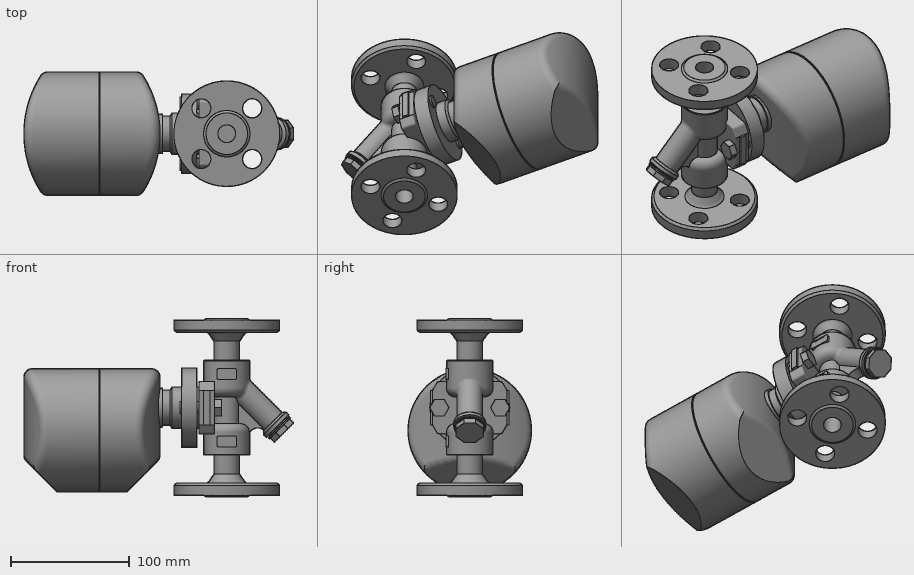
import cadquery as cq
import math


overall_length = 227.0
overall_height = 150.0
housing_start_x = -170.7
tip_x = housing_start_x + overall_length

half_height = overall_height / 2
raised_face_height = 1.4
raised_face_dia = 35.0
raised_face_base_dia = 39.0
flange_dia = 89.0
flange_thickness = 10.5
flange_chamfer = 2.0
bolt_hole_dia = 16.0
bolt_hole_offset = 21.3
bore_dia = 15.0
bore_depth = 35.2

pipe_dia = 21.8
hub_dia = 33.0
hub_height = 7.3
hub_cone_dia = 30.0
hub_step = 1.4

body_dia = 39.0
body_half_height = 40.0
body_edge_chamfer = 0.7
waist_center_z = -2.15
waist_height = 13.0
shoulder_radius = 7.3
waist_radius = 7.5

pad_width = 16.3
pad_height = 9.5
pad_corner = 1.5
pad_face_y = -20.0
pad_center_z = 28.4

branch_start_z = 27.2
branch_angle = 45
branch_dia = 21.8
branch_end = 55.0
collar_dia = 27.0
collar_start = 57.0
collar_end = 60.5
washer_dia = 25.0
washer_start = 61.8
washer_end = 63.1
plug_across_flats = 23.0
plug_sides = 8
plug_end = tip_x / math.sin(math.radians(branch_angle)) - plug_across_flats / 2
junction_fillet = 3.6

crotch_width = 9.0
crotch_arc_half_width = 5.5
crotch_arc_radius = 7.5

plate_back_x = -23.5
plate_front_x = -10.2
plate_half_width = 31.3
plate_height = 44.3
plate_side_half_height = 14.5
plate_slope_angle = 30
plate_corner_radius = 2.5
panel_start_x = -19.5
panel_end_x = -14.0
panel_half_width = 33.2
plate_edge_fillet = 1.0
stud_dia = 10.5
stud_offset = 25.7
stud_end_x = -39.5
nut_across_flats = 14.0
nut_sides = 6
nut_end_x = -4.3

neck_flange_dia = 67.0
neck_flange_start_x = -38.0
neck_flange_end_x = -25.2
collet_dia = 35.0
collet_start_x = -46.0
neck_dia = 30.0
neck_end_x = -47.7
neck_foot_dia = 33.0
neck_foot_x = -54.0

housing_dia = 104.0
housing_end_x = -56.0
housing_center_z = -19.0
housing_end_radius = 90.8
housing_edge_fillet = 7.3
housing_bevel = 28.2
groove_x = -107.2
groove_width = 1.0
groove_depth = 0.7


def rod_x(diameter, start_x, end_x, y=0.0, z=0.0):
    """Cylinder along X."""
    plane = cq.Workplane("YZ", origin=(start_x, y, z))
    return plane.circle(diameter / 2).extrude(end_x - start_x)


def make_end_connection():
    """Upper flange with raised face, hub and pipe stub, without its holes."""
    face_z = half_height - raised_face_height
    underside_z = face_z - flange_thickness
    hub_z = underside_z - hub_height
    profile = [
        (0, 0),
        (pipe_dia / 2, 0),
        (pipe_dia / 2, hub_z),
        (hub_cone_dia / 2, underside_z - hub_step),
        (hub_dia / 2, underside_z),
        (flange_dia / 2 - flange_chamfer, underside_z),
        (flange_dia / 2, underside_z + flange_chamfer),
        (flange_dia / 2, face_z),
        (raised_face_base_dia / 2, face_z),
        (raised_face_dia / 2, half_height),
        (0, half_height),
    ]
    return cq.Workplane("XZ").polyline(profile).close().revolve(360, (0, 0), (0, 1))


def make_end_holes():
    """Bolt holes and blind bore of the upper flange."""
    bolt_holes = (
        cq.Workplane("XY", origin=(0, 0, half_height))
        .rect(2 * bolt_hole_offset, 2 * bolt_hole_offset, forConstruction=True)
        .vertices()
        .circle(bolt_hole_dia / 2)
        .extrude(-flange_thickness - 2 * raised_face_height)
    )
    bore = cq.Workplane("XY", origin=(0, 0, half_height)).circle(bore_dia / 2).extrude(-bore_depth)
    return bolt_holes.union(bore)


def make_body():
    """Round body with a waist blended into both ends by S-shaped shoulders."""
    body_radius = body_dia / 2
    throat_radius = body_radius - waist_radius - shoulder_radius
    mid_radius = body_radius - shoulder_radius
    rim_radius = body_radius - body_edge_chamfer
    rim_z = body_half_height - body_edge_chamfer
    low_waist = waist_center_z - waist_height / 2
    high_waist = waist_center_z + waist_height / 2
    low_throat = low_waist - throat_radius
    high_throat = high_waist + throat_radius
    return (
        cq.Workplane("XZ")
        .moveTo(0, -body_half_height)
        .lineTo(rim_radius, -body_half_height)
        .lineTo(body_radius, -rim_z)
        .lineTo(body_radius, low_throat - shoulder_radius)
        .radiusArc((mid_radius, low_throat), -shoulder_radius)
        .radiusArc((waist_radius, low_waist), throat_radius)
        .lineTo(waist_radius, high_waist)
        .radiusArc((mid_radius, high_throat), throat_radius)
        .radiusArc((body_radius, high_throat + shoulder_radius), -shoulder_radius)
        .lineTo(body_radius, rim_z)
        .lineTo(rim_radius, body_half_height)
        .lineTo(0, body_half_height)
        .close()
        .revolve(360, (0, 0), (0, 1))
    )


def make_pad(center_z):
    """Flat label pad with rounded corners on the -Y side of the body."""
    return (
        cq.Workplane("XZ", origin=(0, 0, center_z))
        .rect(pad_width, pad_height)
        .extrude(-pad_face_y)
        .edges("|Y")
        .fillet(pad_corner)
    )


def make_branch():
    """Slanted branch with collar, washer and octagonal plug."""
    branch = cq.Workplane("XY").circle(branch_dia / 2).extrude(washer_start)
    collar_profile = [
        (0, branch_end),
        (branch_dia / 2, branch_end),
        (collar_dia / 2, collar_start),
        (collar_dia / 2, collar_end),
        (0, collar_end),
    ]
    collar = cq.Workplane("XZ").polyline(collar_profile).close().revolve(360, (0, 0), (0, 1))
    washer = (
        cq.Workplane("XY", origin=(0, 0, washer_start))
        .circle(washer_dia / 2)
        .extrude(washer_end - washer_start)
    )
    plug = (
        cq.Workplane("XY", origin=(0, 0, washer_end))
        .transformed(rotate=(0, 0, 180 / plug_sides))
        .polygon(plug_sides, plug_across_flats / math.cos(math.pi / plug_sides))
        .extrude(plug_end - washer_end)
    )
    branch = branch.union(collar).union(washer).union(plug)
    return branch.rotate((0, 0, 0), (0, 1, 0), 180 - branch_angle).translate((0, 0, branch_start_z))


def make_body_with_branch():
    """Body and branch joined with a fillet along their curved seam."""
    joined = make_body().union(make_branch())
    return joined.edges(cq.selectors.TypeSelector("BSPLINE")).fillet(junction_fillet)


def make_crotch():
    """Web filling the crotch below the branch, ending in a concave arc."""
    branch_side = branch_dia / 2 / math.sin(math.radians(branch_angle))
    branch_foot = branch_start_z - branch_side
    body_radius = body_dia / 2
    shoulder_z = waist_center_z - waist_height / 2 - (body_radius - waist_radius)
    arc_end_x = body_radius + 2 * crotch_arc_half_width
    return (
        cq.Workplane("XZ", origin=(0, crotch_width / 2, 0))
        .moveTo(0, branch_foot)
        .lineTo(0, shoulder_z)
        .lineTo(body_radius, shoulder_z)
        .radiusArc((arc_end_x, branch_foot - arc_end_x), crotch_arc_radius)
        .lineTo(arc_end_x, branch_start_z - arc_end_x)
        .lineTo(0, branch_start_z)
        .close()
        .extrude(crotch_width)
    )


def make_bonnet():
    """Bevelled plate with raised side panels, studs and hexagon nuts."""
    plate_half_height = plate_height / 2
    slope_run = (plate_half_height - plate_side_half_height) * math.tan(math.radians(plate_slope_angle))
    top_half_width = plate_half_width - slope_run
    outline = [
        (-top_half_width, plate_half_height),
        (top_half_width, plate_half_height),
        (plate_half_width, plate_side_half_height),
        (plate_half_width, -plate_side_half_height),
        (top_half_width, -plate_half_height),
        (-top_half_width, -plate_half_height),
        (-plate_half_width, -plate_side_half_height),
        (-plate_half_width, plate_side_half_height),
    ]
    plate = (
        cq.Workplane("YZ", origin=(plate_back_x, 0, 0))
        .polyline(outline)
        .close()
        .extrude(plate_front_x - plate_back_x)
    )
    plate = plate.faces("<Z or >Z").edges("|X").fillet(plate_corner_radius)
    plate = plate.faces("<X or >X").edges().fillet(plate_edge_fillet)
    panel = (
        cq.Workplane("YZ", origin=(panel_start_x, 0, 0))
        .rect(2 * panel_half_width, 2 * plate_side_half_height)
        .extrude(panel_end_x - panel_start_x)
    )
    plate = plate.union(panel)
    nut_corner_dia = nut_across_flats / math.cos(math.pi / nut_sides)
    for y in (-stud_offset, stud_offset):
        stud = rod_x(stud_dia, stud_end_x, plate_front_x, y)
        nut = (
            cq.Workplane("YZ", origin=(plate_front_x, y, 0))
            .polygon(nut_sides, nut_corner_dia)
            .extrude(nut_end_x - plate_front_x)
        )
        plate = plate.union(stud).union(nut)
    return plate


def make_neck():
    """Stepped neck and round flange between the actuator and the bonnet plate."""
    profile = [
        (housing_end_x - housing_edge_fillet, 0),
        (housing_end_x - housing_edge_fillet, neck_foot_dia / 2),
        (neck_foot_x, neck_foot_dia / 2),
        (neck_foot_x, neck_dia / 2),
        (neck_end_x, neck_dia / 2),
        (collet_start_x, collet_dia / 2),
        (neck_flange_start_x, collet_dia / 2),
        (neck_flange_start_x, neck_flange_dia / 2),
        (neck_flange_end_x, neck_flange_dia / 2),
        (neck_flange_end_x, collet_dia / 2),
        (plate_front_x, collet_dia / 2),
        (plate_front_x, 0),
    ]
    return cq.Workplane("XZ").polyline(profile).close().revolve(360, (0, 0), (1, 0))


def make_housing():
    """Round actuator housing with bowed ends, bevelled lower corners and a thin groove."""
    radius = housing_dia / 2
    length = housing_end_x - housing_start_x
    bottom_z = housing_center_z - radius
    drum = rod_x(housing_dia, housing_start_x, housing_end_x, z=housing_center_z)

    bow = housing_end_radius - math.sqrt(housing_end_radius**2 - radius**2)
    bowed_block = (
        cq.Workplane("XY", origin=(0, 0, bottom_z))
        .moveTo(housing_start_x + bow, radius)
        .threePointArc((housing_start_x, 0), (housing_start_x + bow, -radius))
        .lineTo(housing_end_x - bow, -radius)
        .threePointArc((housing_end_x, 0), (housing_end_x - bow, radius))
        .close()
        .extrude(housing_dia)
    )
    bevelled_block = (
        cq.Workplane("XY", origin=((housing_start_x + housing_end_x) / 2, 0, bottom_z))
        .rect(length, housing_dia)
        .extrude(housing_dia)
        .faces("<Z")
        .edges("|Y")
        .chamfer(housing_bevel)
    )
    housing = drum.intersect(bowed_block).intersect(bevelled_block)
    housing = housing.faces("<X or >X").edges().fillet(housing_edge_fillet)

    groove_start_x = groove_x - groove_width / 2
    groove_end_x = groove_x + groove_width / 2
    groove = rod_x(housing_dia + 2 * groove_depth, groove_start_x, groove_end_x, z=housing_center_z)
    core = rod_x(housing_dia - 2 * groove_depth, groove_start_x, groove_end_x, z=housing_center_z)
    return housing.cut(groove.cut(core))


end_connection = make_end_connection()
end_holes = make_end_holes()

valve = make_body_with_branch().union(make_crotch())
for z in (pad_center_z, -pad_center_z):
    valve = valve.union(make_pad(z))
valve = valve.union(end_connection).union(end_connection.mirror("XY"))
valve = valve.union(make_bonnet()).union(make_neck()).union(make_housing())
result = valve.cut(end_holes).cut(end_holes.mirror("XY"))